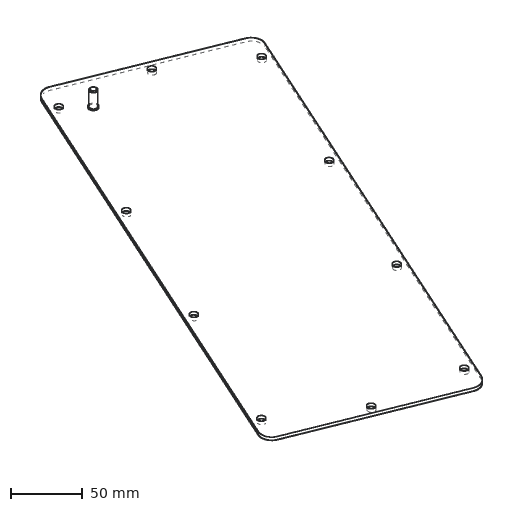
import cadquery as cq

plate_length = 424.0
plate_width = 167.0
plate_thickness = 3.0
corner_radius = 10.0

hole_diameter = 6.5
edge_inset = 7.5
holes_per_row = 4
hole_pitch = 126.0

overall_height = 19.0
stud_x = -179.5
stud_y = -54.0
stud_diameter = 6.5
stud_chamfer = 1.0
collar_diameter = 7.5
collar_height = 1.0


def make_plate():
    plate = cq.Workplane("XY").box(
        plate_length, plate_width, plate_thickness, centered=(True, True, False)
    )
    return plate.edges("|Z").fillet(corner_radius)


def hole_positions():
    row_y = plate_width / 2 - edge_inset
    end_x = plate_length / 2 - edge_inset
    first_x = -hole_pitch * (holes_per_row - 1) / 2
    row_holes = [
        (first_x + index * hole_pitch, side * row_y)
        for index in range(holes_per_row)
        for side in (-1, 1)
    ]
    return row_holes + [(-end_x, 0), (end_x, 0)]


def make_stud():
    base = cq.Workplane("XY", origin=(stud_x, stud_y, 0))
    shank = base.circle(stud_diameter / 2).extrude(overall_height)
    shank = shank.faces(">Z").chamfer(stud_chamfer)
    collar = base.circle(collar_diameter / 2).extrude(plate_thickness + collar_height)
    return shank.union(collar)


drilled_plate = (
    make_plate()
    .faces(">Z")
    .workplane(origin=(0, 0, plate_thickness))
    .pushPoints(hole_positions())
    .hole(hole_diameter)
)

result = drilled_plate.union(make_stud())